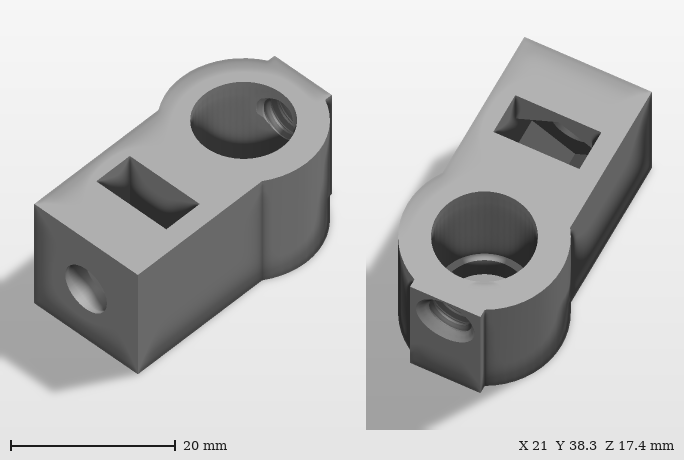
import cadquery as cq
import math

HEIGHT = 17.4
RING_DIAMETER = 21.0
BORE_DIAMETER = 13.0
LIP_DIAMETER = 11.11
LIP_THICKNESS = 3.2

ARM_WIDTH = HEIGHT
ARM_LENGTH = 27.77
MID_HEIGHT = HEIGHT / 2

PAD_WIDTH = 9.6
PAD_FACE = RING_DIAMETER / 2

SLOT_WIDTH = 11.75
SLOT_LENGTH = 5.9
SLOT_SETBACK = 7.97
NUT_SIDES = 6
NUT_WIDTH = SLOT_WIDTH
BOLT_HOLE_DIAMETER = 6.99
BOLT_HOLE_DEPTH = 3.5

SCREW_HEIGHT = 0.75 * HEIGHT
THREAD_MAJOR = 6.55
THREAD_MINOR = 5.52
THREAD_PITCH = 1.27
THREAD_START = 2.5
GROOVE_MOUTH = 0.9 * THREAD_PITCH
GROOVE_ROOT = THREAD_PITCH / 8
GROOVE_OVERLAP = 0.1
COUNTERSINK_DIAMETER = 8.0


def make_body():
    """Round ring, square arm and flat pad, all of the same height."""
    ring = cq.Workplane("XY").circle(RING_DIAMETER / 2).extrude(HEIGHT)
    arm = (
        cq.Workplane("XY")
        .center(0, -ARM_LENGTH / 2)
        .rect(ARM_WIDTH, ARM_LENGTH)
        .extrude(HEIGHT)
    )
    pad = (
        cq.Workplane("XY")
        .center(0, PAD_FACE / 2)
        .rect(PAD_WIDTH, PAD_FACE)
        .extrude(HEIGHT)
    )
    return ring.union(arm).union(pad)


def make_bore():
    """Stepped vertical bore that leaves a narrow lip at the bottom."""
    through = cq.Workplane("XY").circle(LIP_DIAMETER / 2).extrude(HEIGHT)
    wide = (
        cq.Workplane("XY")
        .workplane(offset=LIP_THICKNESS)
        .circle(BORE_DIAMETER / 2)
        .extrude(HEIGHT - LIP_THICKNESS)
    )
    return through.union(wide)


def make_nut_slot():
    """Rectangular slot that passes vertically through the arm."""
    slot_center = -ARM_LENGTH + SLOT_SETBACK + SLOT_LENGTH / 2
    return (
        cq.Workplane("XY")
        .center(0, slot_center)
        .rect(SLOT_WIDTH, SLOT_LENGTH)
        .extrude(HEIGHT)
    )


def arm_section(depth):
    """Workplane centred on the arm, at a depth behind its end face."""
    return cq.Workplane("XZ", origin=(0, -ARM_LENGTH + depth, MID_HEIGHT))


def make_bolt_hole():
    """Round hole in the arm end that opens into a hexagonal nut seat."""
    hole = arm_section(0).circle(BOLT_HOLE_DIAMETER / 2).extrude(-BOLT_HOLE_DEPTH)
    corner_diameter = NUT_WIDTH / math.cos(math.pi / NUT_SIDES)
    seat = (
        arm_section(BOLT_HOLE_DEPTH)
        .transformed(rotate=(0, 0, 90))
        .polygon(NUT_SIDES, corner_diameter)
        .extrude(BOLT_HOLE_DEPTH - SLOT_SETBACK)
    )
    return hole.union(seat)


def make_thread_groove(length):
    """Helical groove around Z, one pitch longer than the hole at each end."""
    inner_radius = THREAD_MINOR / 2 - GROOVE_OVERLAP
    outer_radius = THREAD_MAJOR / 2
    helix = cq.Wire.makeHelix(THREAD_PITCH, length + 2 * THREAD_PITCH, inner_radius)
    return (
        cq.Workplane("XZ")
        .moveTo(inner_radius, -GROOVE_MOUTH / 2)
        .lineTo(outer_radius, -GROOVE_ROOT / 2)
        .lineTo(outer_radius, GROOVE_ROOT / 2)
        .lineTo(inner_radius, GROOVE_MOUTH / 2)
        .close()
        .sweep(cq.Workplane(obj=helix), isFrenet=True)
        .translate((0, 0, -THREAD_PITCH))
    )


def make_countersink(length):
    """45 degree cone that widens the outer end of a hole along Z."""
    depth = (COUNTERSINK_DIAMETER - THREAD_MINOR) / 2
    return (
        cq.Workplane("XY")
        .workplane(offset=length - depth)
        .circle(THREAD_MINOR / 2)
        .workplane(offset=depth)
        .circle(COUNTERSINK_DIAMETER / 2)
        .loft(ruled=True)
    )


def cut_screw_hole(body):
    """Cut the threaded, countersunk hole from the bore out through the pad."""
    length = PAD_FACE - THREAD_START
    hole = cq.Workplane("XY").circle(THREAD_MINOR / 2).extrude(length)
    for tool in (make_thread_groove(length), hole, make_countersink(length)):
        turned = tool.rotate((0, 0, 0), (1, 0, 0), -90)
        body = body.cut(turned.translate((0, THREAD_START, SCREW_HEIGHT)))
    return body


result = make_body()
result = result.cut(make_bore())
result = result.cut(make_nut_slot())
result = result.cut(make_bolt_hole())
result = cut_screw_hole(result)